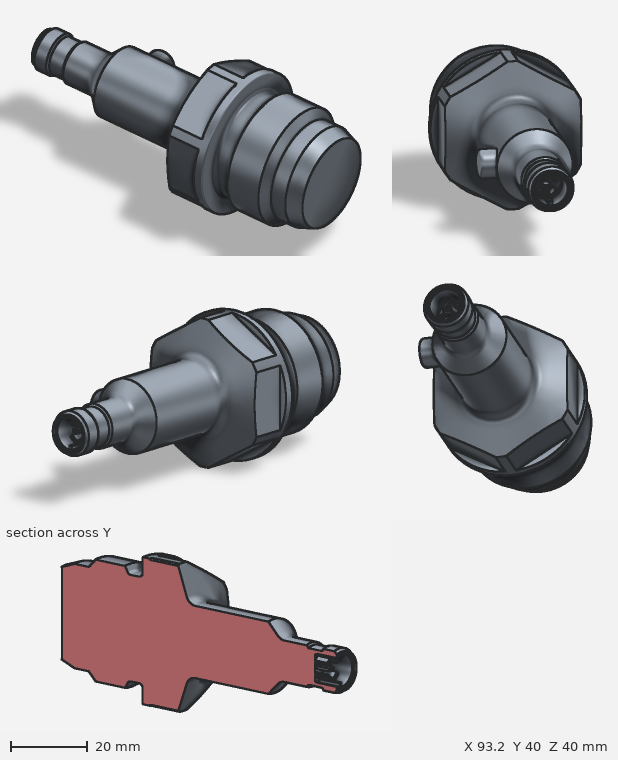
import cadquery as cq
import math

TOTAL_LENGTH = 93.2

TIP_DIA = 10.4
TIP_LENGTH = 0.65
COLLAR_DIA = 12.0
COLLAR_END = 5.2
NECK_DIA = 10.8
NECK_START = 5.8
NECK_END = 10.2

BODY_DIA = 20.0
BODY_START = 23.7
BODY_SLOPE = 45.0
BLEND_RADIUS = 3.0

FLANGE_DIA = 40.0
HEX_SIDES = 6
HEX_ACROSS_FLATS = 36.0
HEX_START = 54.1
HEX_END = 63.5
HEX_SLOPE = 70.0
FLANGE_END = 66.1
FLANGE_EDGE_RADIUS = 0.4

UNDERCUT_DIA = 29.2
UNDERCUT_RADIUS = 1.2
THREAD_DIA = 33.3
THREAD_START = 71.9
THREAD_END = 81.8
THREAD_RUN_IN_SLOPE = 60.0
NOSE_DIA = 28.6
NOSE_TAPER_START = 88.8
NOSE_TAPER_SLOPE = 20.0

BUTTON_DIA = 7.7
BUTTON_X = 28.5
BUTTON_TOP = 14.1
BUTTON_EDGE_RADIUS = 1.0

MOUTH_RIM = 0.1
MOUTH_DIA = 9.4
SOCKET_DIA = 8.7
FLOOR_DIA = 8.0
SOCKET_DEPTH = 8.0
KEY_WIDTH = 0.8
KEY_HEIGHT = 1.0
KEY_START = 1.1
BLADE_WIDTH = 2.0
BLADE_THICKNESS = 0.8
BLADE_START = 3.5
BLADE_TIP_CHAMFER = 0.3
OUTER_BLADE_Y = 1.4
OUTER_BLADE_Z = 2.1
OUTER_BLADE_ANGLE = 45.0
CENTRE_BLADE_Y = 0.6


def blend_size(slope, radius):
    """Axial run and radial rise of an arc that turns from the axis direction to the slope."""
    angle = math.radians(slope)
    return radius * math.sin(angle), radius * (1 - math.cos(angle))


def cone_run(rise, slope):
    """Axial length of a cone that climbs by the given rise."""
    return rise / math.tan(math.radians(slope))


def turned_body():
    """Everything round about the X axis, revolved from one half profile."""
    tip_r = TIP_DIA / 2
    collar_r = COLLAR_DIA / 2
    neck_r = NECK_DIA / 2
    body_r = BODY_DIA / 2
    flange_r = FLANGE_DIA / 2
    undercut_r = UNDERCUT_DIA / 2
    thread_r = THREAD_DIA / 2
    nose_r = NOSE_DIA / 2

    shoulder_run, shoulder_rise = blend_size(BODY_SLOPE, BLEND_RADIUS)
    shoulder_r = collar_r + shoulder_rise
    shoulder_x = BODY_START - cone_run(body_r - shoulder_r, BODY_SLOPE)

    hex_run, hex_rise = blend_size(HEX_SLOPE, BLEND_RADIUS)
    hex_cone_r = body_r + hex_rise
    hex_cone_x = HEX_START - cone_run(flange_r - hex_cone_r, HEX_SLOPE)

    lead_run, lead_rise = blend_size(THREAD_RUN_IN_SLOPE, UNDERCUT_RADIUS)
    lead_r = undercut_r + lead_rise
    lead_x = THREAD_START - cone_run(thread_r - lead_r, THREAD_RUN_IN_SLOPE)

    nose_start = THREAD_END + thread_r - nose_r
    nose_taper = (TOTAL_LENGTH - NOSE_TAPER_START) * math.tan(math.radians(NOSE_TAPER_SLOPE))

    profile = (
        cq.Workplane("XY")
        .moveTo(0, 0)
        .lineTo(0, tip_r)
        .lineTo(TIP_LENGTH, tip_r)
        .lineTo(TIP_LENGTH + collar_r - tip_r, collar_r)
        .lineTo(COLLAR_END, collar_r)
        .lineTo(NECK_START, neck_r)
        .lineTo(NECK_END, neck_r)
        .lineTo(NECK_END + collar_r - neck_r, collar_r)
        .lineTo(shoulder_x - shoulder_run, collar_r)
        .tangentArcPoint((shoulder_x, shoulder_r), relative=False)
        .lineTo(BODY_START, body_r)
        .lineTo(hex_cone_x - hex_run, body_r)
        .tangentArcPoint((hex_cone_x, hex_cone_r), relative=False)
        .lineTo(HEX_START, flange_r)
        .lineTo(FLANGE_END - FLANGE_EDGE_RADIUS, flange_r)
        .tangentArcPoint((FLANGE_EDGE_RADIUS, -FLANGE_EDGE_RADIUS))
        .lineTo(FLANGE_END, undercut_r + UNDERCUT_RADIUS)
        .tangentArcPoint((UNDERCUT_RADIUS, -UNDERCUT_RADIUS))
        .lineTo(lead_x - lead_run, undercut_r)
        .tangentArcPoint((lead_x, lead_r), relative=False)
        .lineTo(THREAD_START, thread_r)
        .lineTo(THREAD_END, thread_r)
        .lineTo(nose_start, nose_r)
        .lineTo(NOSE_TAPER_START, nose_r)
        .lineTo(TOTAL_LENGTH, nose_r - nose_taper)
        .lineTo(TOTAL_LENGTH, 0)
        .close()
    )
    return profile.revolve(360, (0, 0, 0), (1, 0, 0))


def hex_trim():
    """Ring of material outside the hexagon, with two flats facing +Y and -Y."""
    half_side_angle = 180 / HEX_SIDES
    across_corners = HEX_ACROSS_FLATS / math.cos(math.radians(half_side_angle))
    plane = cq.Workplane("YZ", origin=(BODY_START, 0, 0))
    length = HEX_END - BODY_START
    blank = plane.circle(FLANGE_DIA).extrude(length)
    turned_plane = plane.transformed(rotate=(0, 0, half_side_angle))
    hexagon = turned_plane.polygon(HEX_SIDES, across_corners).extrude(length)
    return blank.cut(hexagon)


def button():
    """Short round button standing on the body, its outer edge rounded."""
    return (
        cq.Workplane("XZ", origin=(BUTTON_X, 0, 0))
        .circle(BUTTON_DIA / 2)
        .extrude(-BUTTON_TOP)
        .faces(">Y")
        .edges()
        .fillet(BUTTON_EDGE_RADIUS)
    )


def socket():
    """Round recess in the plug end: a flared mouth, a seat, and a bore with a bevelled floor."""
    rim_r = TIP_DIA / 2 - MOUTH_RIM
    mouth_r = MOUTH_DIA / 2
    bore_r = SOCKET_DIA / 2
    floor_r = FLOOR_DIA / 2
    mouth_depth = rim_r - mouth_r
    seat_depth = mouth_depth + mouth_r - bore_r
    profile = (
        cq.Workplane("XY")
        .moveTo(0, 0)
        .lineTo(0, rim_r)
        .lineTo(mouth_depth, mouth_r)
        .lineTo(seat_depth, mouth_r)
        .lineTo(seat_depth, bore_r)
        .lineTo(SOCKET_DEPTH - bore_r + floor_r, bore_r)
        .lineTo(SOCKET_DEPTH, floor_r)
        .lineTo(SOCKET_DEPTH, 0)
        .close()
    )
    return profile.revolve(360, (0, 0, 0), (1, 0, 0))


def blade(y, z, angle):
    """Flat contact standing on the socket floor, turned about its own axis."""
    return (
        cq.Workplane("YZ", origin=(BLADE_START, y, z))
        .transformed(rotate=(0, 0, angle))
        .rect(BLADE_WIDTH, BLADE_THICKNESS)
        .extrude(SOCKET_DEPTH - BLADE_START)
        .faces("<X")
        .chamfer(BLADE_TIP_CHAMFER)
    )


def contacts():
    """One centre blade and four slanted blades around it."""
    blades = blade(CENTRE_BLADE_Y, 0, 0)
    for side_y in (-1, 1):
        for side_z in (-1, 1):
            angle = -side_y * side_z * OUTER_BLADE_ANGLE
            blades = blades.union(blade(side_y * OUTER_BLADE_Y, side_z * OUTER_BLADE_Z, angle))
    return blades


def key():
    """Rib along the bottom of the socket wall that orients the mating plug."""
    overlap = (MOUTH_DIA - SOCKET_DIA) / 2
    rib = cq.Workplane("XY").box(
        SOCKET_DEPTH - KEY_START, KEY_WIDTH, KEY_HEIGHT + overlap, centered=(False, True, False)
    )
    return rib.translate((KEY_START, 0, -SOCKET_DIA / 2 - overlap))


outer_shape = turned_body().cut(hex_trim()).union(button())
result = outer_shape.cut(socket()).union(contacts()).union(key())